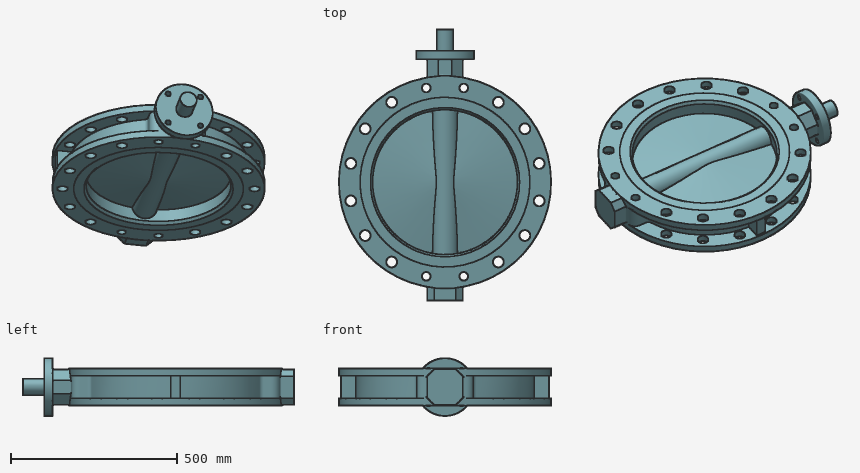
import cadquery as cq
import math


flange_radius = 319.85
flange_thickness = 22.0
housing_height = 112.0
web_radius = 270.0
half_height = housing_height / 2
groove_height = housing_height - 2 * flange_thickness

boss_width = 171.5
boss_edge_radius = 26.0
boss_root_radius = 14.0

rib_width = 29.5
rib_reach = 314.0

bolt_count = 16
bolt_circle_radius = 289.0
bolt_hole_diameter = 32.0
tapped_hole_diameter = 25.0

block_width = 107.0
block_fillet = 4.0
block_root = 294.0
neck_chamfer = 33.0
foot_chamfer = 20.5
foot_end = 357.0

plate_radius = 87.5
plate_start = 370.0
plate_end = 396.0
plate_edge_fillet = 2.5
plate_hole_count = 4
plate_hole_diameter = 15.5
plate_hole_circle_radius = 70.0

liner_outer_radius = 256.0
bore_radius = 218.0
mouth_radius = 225.0
mouth_depth = 10.0

hub_radius = 38.0
cone_height = 31.0
rim_half_thickness = 6.5

stem_radius = 25.0
stem_top = 460.0
stem_bottom = -327.0


def y_cylinder(radius, start, end):
    """Cylinder around the Y axis from y = start to y = end."""
    return cq.Workplane("XZ", origin=(0, start, 0)).circle(radius).extrude(start - end)


def z_cylinder(radius, height):
    """Cylinder around the Z axis, centred on the origin."""
    return cq.Workplane("XY").circle(radius).extrude(height / 2, both=True)


def groove_filling():
    """Web ring with both stem bosses, one groove height tall and rounded in plan."""
    bosses = z_cylinder(flange_radius, groove_height).intersect(
        cq.Workplane("XY").box(boss_width, 2 * flange_radius, groove_height)
    )
    bosses = bosses.edges("|Z").fillet(boss_edge_radius)
    filling = bosses.union(z_cylinder(web_radius, groove_height))
    root_y = math.sqrt(web_radius**2 - (boss_width / 2) ** 2)
    for side_x in (-boss_width / 2, boss_width / 2):
        for side_y in (-root_y, root_y):
            root = cq.selectors.NearestToPointSelector((side_x, side_y, 0))
            filling = filling.edges("|Z").edges(root).fillet(boss_root_radius)
    return filling


def filleted_joint(shape, start, end):
    """Fillet the edges of the square block that lie between y = start and y = end."""
    reach = (block_width + block_fillet) / 2
    joint = cq.selectors.BoxSelector((-reach, start, -reach), (reach, end, reach))
    return shape.edges(joint).fillet(block_fillet)


def block_envelope(end, chamfer):
    """Space between the four chamfer planes, from y = block_root to y = end."""
    length = end - block_root
    chamfer_square = math.sqrt(2) * (block_width - chamfer)
    diamond = cq.Workplane("XY").box(chamfer_square, length, chamfer_square)
    diamond = diamond.rotate((0, 0, 0), (0, 1, 0), 45)
    limits = cq.Workplane("XY").box(block_width + 2 * block_fillet, length, housing_height)
    return diamond.intersect(limits).translate((0, block_root + length / 2, 0))


def stem_block(end, chamfer, plate=None):
    """Block from the flange rim to y = end, filleted where its flats meet the rim and plate.

    The fillets run along the flats only; the chamfers cut straight through them.
    """
    block = cq.Workplane("XY").box(block_width, end, block_width).translate((0, end / 2, 0))
    joined = z_cylinder(flange_radius, 2 * block_width).union(block)
    joined = filleted_joint(joined, block_root, flange_radius + block_fillet)
    if plate is not None:
        joined = joined.union(plate)
        joined = filleted_joint(joined, end - block_fillet / 2, end + block_fillet / 2)
    return joined.intersect(block_envelope(end, chamfer))


def mounting_plate():
    """Round actuator plate with the edge facing the housing rounded."""
    plate = y_cylinder(plate_radius, plate_start, plate_end)
    return plate.faces("<Y").edges().fillet(plate_edge_fillet)


def plate_holes():
    """Holes through the mounting plate on the diagonals."""
    return (
        cq.Workplane("XZ", origin=(0, plate_start, 0))
        .polarArray(plate_hole_circle_radius, 45, 360, plate_hole_count)
        .circle(plate_hole_diameter / 2)
        .extrude(plate_start - plate_end)
    )


def bolt_holes():
    """Bolt holes through both flanges; the two pairs next to the stem are smaller."""
    holes = cq.Workplane("XY")
    pitch = 2 * math.pi / bolt_count
    for index in range(bolt_count):
        angle = (index + 0.5) * pitch
        x = bolt_circle_radius * math.cos(angle)
        y = bolt_circle_radius * math.sin(angle)
        beside_stem = abs(x) < boss_width / 2
        diameter = tapped_hole_diameter if beside_stem else bolt_hole_diameter
        holes = holes.add(z_cylinder(diameter / 2, housing_height).translate((x, y, 0)))
    return holes.combine()


def make_stem():
    """Straight stem through the neck and the disc into a blind bore in the foot."""
    return y_cylinder(stem_radius, stem_bottom, stem_top)


def make_housing():
    """Ring with two flanges, ribs, neck with mounting plate, and foot."""
    flange_offset = (housing_height - flange_thickness) / 2
    flange = z_cylinder(flange_radius, flange_thickness)
    housing = groove_filling()
    housing = housing.union(flange.translate((0, 0, flange_offset)))
    housing = housing.union(flange.translate((0, 0, -flange_offset)))
    housing = housing.union(cq.Workplane("XY").box(2 * rib_reach, rib_width, groove_height))

    plate = mounting_plate()
    housing = housing.union(stem_block(plate_start, neck_chamfer, plate)).union(plate)
    foot = stem_block(foot_end, foot_chamfer).rotate((0, 0, 0), (0, 0, 1), 180)
    housing = housing.union(foot)

    housing = housing.cut(bolt_holes()).cut(plate_holes())
    return housing.cut(z_cylinder(liner_outer_radius, housing_height)).cut(make_stem())


def make_liner():
    """Sleeve flush with the flange faces, with a conical mouth at each end."""
    mouth_start = half_height - mouth_depth
    liner = (
        cq.Workplane("XZ")
        .moveTo(liner_outer_radius, -half_height)
        .lineTo(liner_outer_radius, half_height)
        .lineTo(mouth_radius, half_height)
        .lineTo(bore_radius, mouth_start)
        .lineTo(bore_radius, -mouth_start)
        .lineTo(mouth_radius, -half_height)
        .close()
        .revolve(360, (0, 0, 0), (0, 1, 0))
    )
    return liner.cut(make_stem())


def make_disc():
    """Double cone closing the bore, with the hub trimmed to the bore."""
    cone = (
        cq.Workplane("XZ")
        .moveTo(0, -cone_height)
        .lineTo(bore_radius, -rim_half_thickness)
        .lineTo(bore_radius, rim_half_thickness)
        .lineTo(0, cone_height)
        .close()
        .revolve(360, (0, 0, 0), (0, 1, 0))
    )
    hub = y_cylinder(hub_radius, -bore_radius, bore_radius)
    hub = hub.intersect(z_cylinder(bore_radius, housing_height))
    return cone.union(hub).cut(make_stem())


housing = make_housing()
liner = make_liner()
disc = make_disc()
stem = make_stem()

result = cq.Compound.makeCompound([body.solids().val() for body in (housing, liner, disc, stem)])